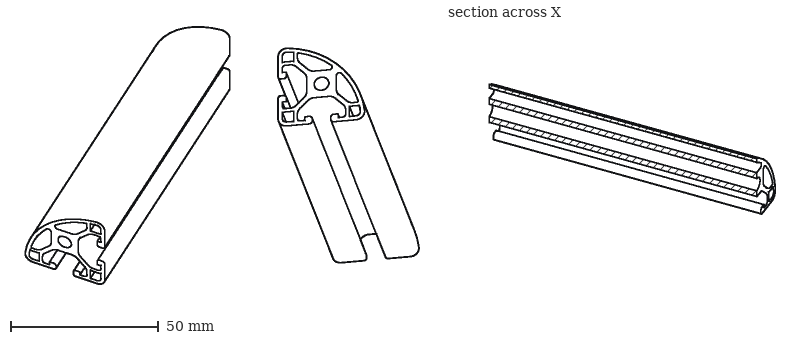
import cadquery as cq
import math

LENGTH = 100.0
HALF_SIZE = 15.0
OUTER_RADIUS = 2 * HALF_SIZE
CORNER_RADIUS = 3.0
WALL = 1.5
WALL_INSIDE = HALF_SIZE - WALL
INNER_RADIUS = OUTER_RADIUS - WALL
BORE_DIAMETER = 5.0

CORE_HALF = 5.1
WEB_OFFSET = 1.3
BEND_RADIUS = 3.0

SLOT_OPENING_HALF = 3.2
SLOT_CAVITY_HALF = 8.3
HOOK_WIDTH = 2.5
HOOK_DEPTH = 2.9
HOOK_MOUTH_RADIUS = 1.0
HOOK_TIP_RADIUS = 0.3
CAVITY_RADIUS = 1.0

CORNER_CELL_START = 9.6
CORNER_CELL_RADIUS = CORNER_RADIUS - WALL

POCKET_TIP_RADIUS = 1.0
POCKET_TOP_RADIUS = 0.4


def round_edges(body, corners, radius):
    """Fillet the lengthwise edges passing through the given (x, z) corners."""
    for x, z in corners:
        edge = cq.selectors.NearestToPointSelector((x, LENGTH / 2, z))
        body = body.edges("|Y").edges(edge).fillet(radius)
    return body


def prism(points):
    return cq.Workplane("XZ").polyline(points).close().extrude(-LENGTH)


def curved_bar(radius):
    """Full cylinder about the square corner."""
    return cq.Workplane("XZ").center(HALF_SIZE, -HALF_SIZE).circle(radius).extrude(-LENGTH)


def with_mirror(body):
    """Add the copy reflected across the diagonal symmetry plane z = -x."""
    return body.union(body.mirror((1, 0, 1)))


def curve_height(radius, x):
    """Z on a circle about the square corner, above the given x."""
    return math.sqrt(radius**2 - (x - HALF_SIZE) ** 2) - HALF_SIZE


def curve_x(radius, z):
    """X on a circle about the square corner, left of it, at the given z."""
    return HALF_SIZE - math.sqrt(radius**2 - (z + HALF_SIZE) ** 2)


def quarter_round():
    square = cq.Workplane("XZ").rect(2 * HALF_SIZE, 2 * HALF_SIZE).extrude(-LENGTH)
    corners = [(HALF_SIZE, HALF_SIZE), (HALF_SIZE, -HALF_SIZE), (-HALF_SIZE, -HALF_SIZE)]
    return round_edges(square.intersect(curved_bar(OUTER_RADIUS)), corners, CORNER_RADIUS)


def side_slot():
    """T-slot opening through the +X side."""
    hook_front = HALF_SIZE - HOOK_DEPTH
    hook_back = SLOT_OPENING_HALF + HOOK_WIDTH
    core_end = (CORE_HALF, CORE_HALF - WEB_OFFSET)
    web_end = (SLOT_CAVITY_HALF + WEB_OFFSET, SLOT_CAVITY_HALF)
    cavity_corner = (WALL_INSIDE, SLOT_CAVITY_HALF)
    hook_root = (WALL_INSIDE, hook_back)
    hook_tip = (hook_front, hook_back)
    inner_lip = (hook_front, SLOT_OPENING_HALF)
    outer_lip = (HALF_SIZE, SLOT_OPENING_HALF)

    upper = [core_end, web_end, cavity_corner, hook_root, hook_tip, inner_lip, outer_lip]
    lower = [(x, -z) for x, z in reversed(upper)]
    slot = prism(upper + lower)
    rounded_corners = [
        (core_end, BEND_RADIUS),
        (web_end, BEND_RADIUS),
        (cavity_corner, CAVITY_RADIUS),
        (hook_tip, HOOK_TIP_RADIUS),
        (inner_lip, HOOK_MOUTH_RADIUS),
    ]
    for (x, z), radius in rounded_corners:
        slot = round_edges(slot, [(x, z), (x, -z)], radius)
    return slot


def curved_side_pocket():
    """Hollow between the core, a diagonal web and the upper half of the curved face."""
    outline = [
        (-HALF_SIZE, CORE_HALF),
        (CORE_HALF - WEB_OFFSET, CORE_HALF),
        (SLOT_CAVITY_HALF, SLOT_CAVITY_HALF + WEB_OFFSET),
        (SLOT_CAVITY_HALF, HALF_SIZE),
        (-HALF_SIZE, HALF_SIZE),
    ]
    pocket = prism(outline).intersect(curved_bar(INNER_RADIUS))
    tip = (curve_x(INNER_RADIUS, CORE_HALF), CORE_HALF)
    top = (SLOT_CAVITY_HALF, curve_height(INNER_RADIUS, SLOT_CAVITY_HALF))
    pocket = round_edges(pocket, [tip], POCKET_TIP_RADIUS)
    pocket = round_edges(pocket, [top], POCKET_TOP_RADIUS)
    web_ends = outline[1:3]
    return round_edges(pocket, web_ends, BEND_RADIUS)


def corner_cell(z_direction):
    """Hollow in the +X corner on the given Z side, cut off by the curved wall."""
    near, far = CORNER_CELL_START, WALL_INSIDE
    outline = [(near, near), (far, near), (far, far), (near, far)]
    cell = prism([(x, z_direction * z) for x, z in outline]).intersect(curved_bar(INNER_RADIUS))
    return round_edges(cell, [(far, z_direction * far)], CORNER_CELL_RADIUS)


bore = cq.Workplane("XZ").circle(BORE_DIAMETER / 2).extrude(-LENGTH)

result = (
    quarter_round()
    .cut(bore)
    .cut(with_mirror(side_slot()))
    .cut(with_mirror(curved_side_pocket()))
    .cut(with_mirror(corner_cell(1)))
    .cut(corner_cell(-1))
)

lip_corners = [(HALF_SIZE, SLOT_OPENING_HALF), (HALF_SIZE, -SLOT_OPENING_HALF)]
lip_corners += [(-z, -x) for x, z in lip_corners]
result = round_edges(result, lip_corners, HOOK_MOUTH_RADIUS)